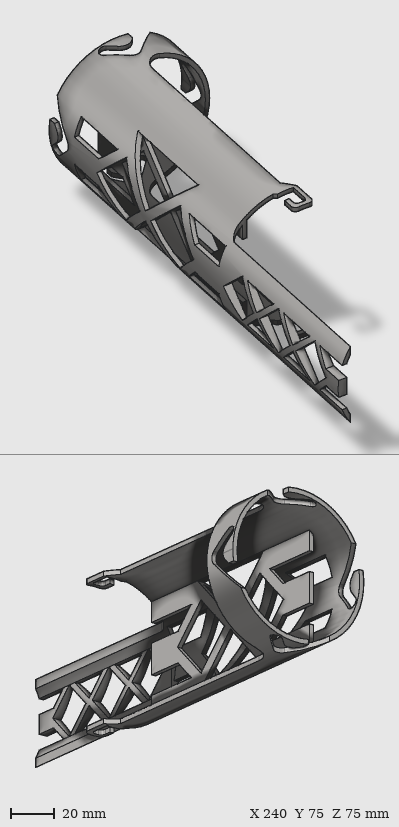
import cadquery as cq
import math

length = 240.0
outer_radius = 37.5
wall = 2.5
inner_radius = outer_radius - wall
cut_depth = outer_radius + wall
collar_length = 19.7
collar_fillet = 10.0
tube_end = 139.7
arm_edge = -30.7
arm_fillet = 4.8

tube_lattice_start = 20.0
tube_lattice_middle = (tube_lattice_start + tube_end) / 2
tube_diamond_size = 17.8
tube_diamond_offset = 22.3
tube_strut_width = 7.5
tube_side_window_bottom = 7.7
tube_triangle_top = 27.8
arm_diamond_size = 12.5
arm_first_diamond = 157.2
arm_diamond_pitch = 30.0
arm_diamond_count = 3
arm_strut_width = 4.3
arm_end_slot_bottom = 4.8

web_thickness = wall
tube_web_face = -math.sqrt(inner_radius**2 - tube_triangle_top**2)
arm_web_face = -math.sqrt(inner_radius**2 - arm_diamond_size**2)

lock_count = 4
lock_spacing = 360 / lock_count
lock_reach = 17.8
lock_end_radius = 3.0
lock_end_x = 4.0
lock_outer_fillet = 4.3
lock_inner_fillet = 5.3
lock_tab_end = 5.8

hook_ramp_start = 135.0
hook_half_height = 5.5
hook_thickness = 2.5
hook_end = 155.0
hook_opening_start = 141.0
hook_lip_start = 147.0
hook_outer_fillet = 2.6
hook_inner_fillet = 2.2
hook_root_chamfer = hook_opening_start - tube_end


def cylinder(radius):
    return cq.Workplane("YZ").circle(radius).extrude(length)


def block(x_range, y_range, z_range):
    spans = (x_range, y_range, z_range)
    sizes = [high - low for low, high in spans]
    middles = [(low + high) / 2 for low, high in spans]
    return cq.Workplane("XY").box(*sizes).translate(tuple(middles))


def front_prism(points):
    """Prism with an XZ outline, reaching from the axis out through the -Y wall."""
    return cq.Workplane("XZ").polyline(points).close().extrude(cut_depth)


def top_prism(outline):
    return outline.extrude(outer_radius, both=True)


def mirrored_in_z(points):
    return [(x, -z) for x, z in points]


def diamond(centre, size):
    return [(centre - size, 0), (centre, size), (centre + size, 0), (centre, -size)]


def triangle(centre, apex, top):
    half_base = top - apex
    return [(centre, apex), (centre + half_base, top), (centre - half_base, top)]


def side_window(square_end, long_corner, bottom, top):
    """Four-sided window with one square end and one end sloping at 45 degrees."""
    direction = math.copysign(1, square_end - long_corner)
    short_corner = long_corner + direction * (top - bottom)
    return [(square_end, bottom), (square_end, top), (long_corner, top), (short_corner, bottom)]


def tube_windows():
    middle = tube_lattice_middle
    windows = [diamond(middle + side * tube_diamond_offset, tube_diamond_size) for side in (-1, 1)]
    apex = tube_diamond_size - (tube_diamond_offset - tube_strut_width)
    long_corner_offset = tube_diamond_offset + tube_strut_width
    upper = [triangle(middle, apex, tube_triangle_top)]
    for side, square_end in ((-1, tube_lattice_start), (1, tube_end)):
        long_corner = middle + side * long_corner_offset
        upper.append(side_window(square_end, long_corner, tube_side_window_bottom, tube_diamond_size))
    return windows + upper + [mirrored_in_z(points) for points in upper]


def arm_windows():
    centres = [arm_first_diamond + i * arm_diamond_pitch for i in range(arm_diamond_count)]
    windows = [diamond(centre, arm_diamond_size) for centre in centres]
    apex = arm_diamond_size - (arm_diamond_pitch / 2 - arm_strut_width)
    upper = [triangle(c + arm_diamond_pitch / 2, apex, arm_diamond_size) for c in centres[:-1]]
    upper.append(side_window(length, centres[-1] + arm_strut_width, arm_end_slot_bottom, arm_diamond_size))
    return windows + upper + [mirrored_in_z(points) for points in upper]


def shell_outline():
    """Collar, half tube and arm as seen along Z, with the inside corners rounded."""
    outline = (
        cq.Workplane("XY")
        .moveTo(0, -outer_radius)
        .lineTo(length, -outer_radius)
        .lineTo(length, arm_edge)
        .lineTo(tube_end + arm_fillet, arm_edge)
        .radiusArc((tube_end, arm_edge + arm_fillet), arm_fillet)
        .lineTo(tube_end, 0)
        .lineTo(collar_length + collar_fillet, 0)
        .radiusArc((collar_length, collar_fillet), collar_fillet)
        .lineTo(collar_length, outer_radius)
        .lineTo(0, outer_radius)
        .close()
    )
    return top_prism(outline)


def hook_outline():
    """Ramp, tip and lip of a hook, seen along Z; it spans both the +Z and -Z walls."""
    top = hook_half_height
    inner_top = top - hook_thickness
    inner_end = hook_end - hook_thickness
    body = top_prism(
        cq.Workplane("XY").polyline([
            (hook_ramp_start, 0),
            (hook_ramp_start + top, top),
            (hook_end, top),
            (hook_end, -top),
            (hook_opening_start, -top),
            (tube_end, -top - hook_root_chamfer),
            (hook_ramp_start, -top - hook_root_chamfer),
        ]).close()
    )
    body = body.edges("|Z and >X").fillet(hook_outer_fillet)
    opening = block((hook_opening_start, inner_end), (-inner_top, inner_top), (-outer_radius, outer_radius))
    opening = opening.edges("|Z and >X").fillet(hook_inner_fillet)
    mouth = block((hook_opening_start, hook_lip_start), (-top, 0), (-outer_radius, outer_radius))
    return body.cut(opening).cut(mouth)


def locking_slot():
    """Slot in the -Y wall that enters on +Z and turns back around a tab joined on -Z."""
    diagonal = math.sqrt(0.5)
    end_z = lock_end_x + lock_end_radius / diagonal - lock_reach
    end_step = lock_end_radius * diagonal
    inner_reach = lock_reach - 2 * lock_end_radius / diagonal
    outer_centre = lock_reach - lock_outer_fillet / diagonal
    outer_step = lock_outer_fillet * diagonal
    inner_centre = inner_reach - lock_inner_fillet / diagonal
    inner_step = lock_inner_fillet * diagonal
    return (
        cq.Workplane("XZ")
        .moveTo(0, lock_reach)
        .lineTo(outer_centre + outer_step, outer_step)
        .threePointArc(
            (outer_centre + lock_outer_fillet, 0),
            (outer_centre + outer_step, -outer_step),
        )
        .lineTo(lock_end_x + end_step, end_z - end_step)
        .threePointArc(
            (lock_end_x - end_step, end_z - end_step),
            (lock_end_x - end_step, end_z + end_step),
        )
        .lineTo(inner_centre + inner_step, -inner_step)
        .threePointArc(
            (inner_centre + lock_inner_fillet, 0),
            (inner_centre + inner_step, inner_step),
        )
        .lineTo(inner_reach - lock_tab_end, lock_tab_end)
        .lineTo(0, lock_tab_end)
        .close()
        .extrude(cut_depth)
    )


def web(x_start, x_end, inner_face):
    """Flat web across the bore, trimmed to the round wall."""
    outer_face = inner_face - web_thickness
    slab = block((x_start, x_end), (outer_face, inner_face), (-outer_radius, outer_radius))
    return slab.intersect(cylinder((inner_radius + outer_radius) / 2))


tube_wall = cylinder(outer_radius).cut(cylinder(inner_radius))
result = tube_wall.intersect(shell_outline())

result = result.union(web(tube_lattice_start, tube_end, tube_web_face))
result = result.union(web(tube_end, length, arm_web_face))
for window in tube_windows() + arm_windows():
    result = result.cut(front_prism(window))

result = result.union(tube_wall.intersect(hook_outline()))

for i in range(lock_count):
    turned_slot = locking_slot().rotate((0, 0, 0), (1, 0, 0), i * lock_spacing)
    result = result.cut(turned_slot)